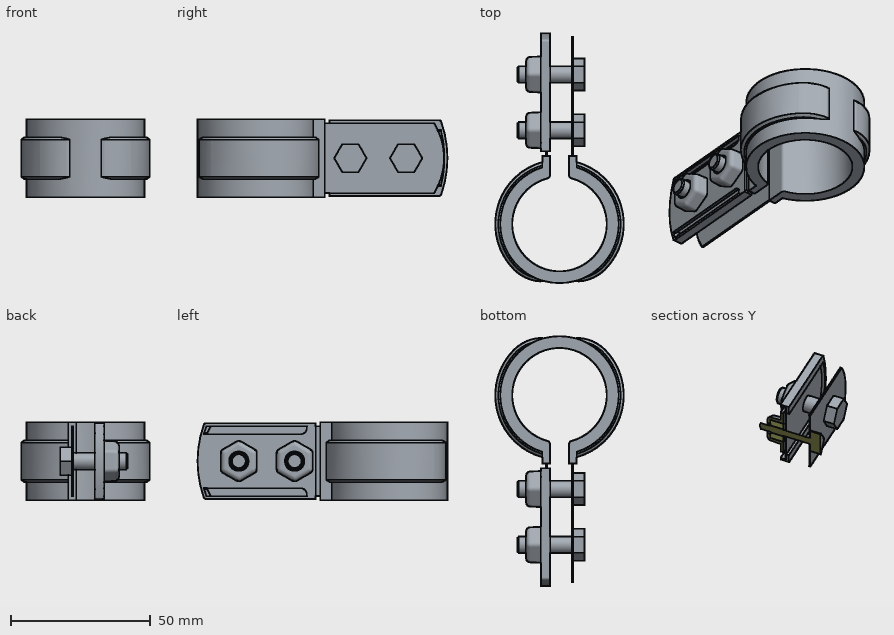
import cadquery as cq
import math


overall_length = 89.4

liner_width = 28.0
bore_radius = 33.7 / 2
liner_radius = 42.3 / 2
tab_gap = 6.7
tab_thickness = 2.8
tab_inner_x = tab_gap / 2
tab_outer_x = tab_inner_x + tab_thickness
tab_end_y = 24.4
tab_fillet = 1.3

pad_radius = 46.05 / 2
pad_width = 15.0
pad_chamfer_depth = 1.2
pad_chamfer_height = 0.9
pad_blend_radius = 14.7
pad_blend_middle_angle = 70
pad_toe_x = 6.8
pad_end_x = 5.6
pad_end_y = 20.4

strap_thickness = 0.5
strap_width = 25.0
strap_ring_radius = (bore_radius + liner_radius - strap_thickness) / 2
leg_gap = 8.85
leg_inner_x = leg_gap / 2
leg_outer_x = leg_inner_x + strap_thickness
leg_end_y = 67.0
leg_end_radius = 24.1

bolt_axes_y = (33.5, 53.5)
shank_diameter = 6.0
shank_tip_x = -15.0
tip_diameter = 4.9
tip_chamfer = (shank_diameter - tip_diameter) / 2
head_height = 4.0
hex_flats = 10.0

cover_width = 27.2
cover_thickness = 3.3
cover_inner_x = -tab_inner_x
cover_outer_x = cover_inner_x - cover_thickness
cover_start_y = 26.0
cover_end_y = overall_length - liner_radius
cover_end_radius = 38.8
cover_corner_fillet = 1.0
cover_wall = 1.1
slot_outer_x = cover_outer_x + cover_wall
back_opening_width = 20.0
window_inner_z = 9.7
window_start_y = 29.15
window_corner_fillet = 2.2

cap_flats = 13.0
cap_draft = 2.5
cap_top_x = -12.0
cap_fillet = 1.6
cap_hole_diameter = 7.0

nut_height = 5.0


def box(x_min, x_max, y_min, y_max, z_min, z_max):
    """Box between two opposite corners."""
    size = (x_max - x_min, y_max - y_min, z_max - z_min)
    return cq.Workplane("XY").box(*size, centered=False).translate((x_min, y_min, z_min))


def disc(radius, width):
    """Cylinder about the pipe axis, centred on the XY plane."""
    return cq.Workplane("XY").circle(radius).extrude(width / 2, both=True)


def rod(diameter, x_min, x_max, y):
    """Cylinder along X, crossing the Y axis at y."""
    return cq.Workplane("YZ", origin=(x_min, y, 0)).circle(diameter / 2).extrude(x_max - x_min)


def hexagon(flats, x_min, x_max, y, rotation=0, taper=0):
    """Hexagonal prism along X, with corners towards Y at rotation 0 and towards Z at rotation 90."""
    across_corners = flats / math.cos(math.pi / 6)
    return (
        cq.Workplane("YZ", origin=(x_min, y, 0))
        .transformed(rotate=(0, 0, rotation))
        .polygon(6, across_corners)
        .extrude(x_max - x_min, taper=taper)
    )


def round_ended(x_min, x_max, y_min, y_end, end_radius, width):
    """Flat bar along Y whose far end is an arc with its crown at y_end."""
    half = width / 2
    corner_y = y_end - end_radius + math.sqrt(end_radius**2 - half**2)
    return (
        cq.Workplane("YZ", origin=(x_min, 0, 0))
        .moveTo(y_min, -half)
        .lineTo(corner_y, -half)
        .threePointArc((y_end, 0), (corner_y, half))
        .lineTo(y_min, half)
        .close()
        .extrude(x_max - x_min)
    )


def mirrored(body):
    """Body together with its mirror image across the YZ plane."""
    return body.union(body.mirror("YZ"))


def make_strap():
    ring = disc(strap_ring_radius + strap_thickness, strap_width)
    ring = ring.cut(disc(strap_ring_radius, strap_width))
    ring = ring.cut(box(-leg_inner_x, leg_inner_x, 0, liner_radius, -strap_width, strap_width))
    leg_start_y = math.sqrt(strap_ring_radius**2 - leg_inner_x**2)
    leg = round_ended(leg_inner_x, leg_outer_x, leg_start_y, leg_end_y, leg_end_radius, strap_width)
    strap = ring.union(mirrored(leg))
    for y in bolt_axes_y:
        strap = strap.cut(rod(shank_diameter, -leg_outer_x, leg_outer_x, y))
    return strap


def pad_outline(z):
    """Outline at height z: from the tabs round to the front, where a smaller tangent arc runs it down to the liner."""
    diagonal = pad_radius / math.sqrt(2)
    blend_centre = (pad_radius - pad_blend_radius) / math.sqrt(2)
    toe_y = blend_centre + math.sqrt(pad_blend_radius**2 - (pad_toe_x - blend_centre) ** 2)
    middle_angle = math.radians(pad_blend_middle_angle)
    middle_x = blend_centre + pad_blend_radius * math.cos(middle_angle)
    middle_y = blend_centre + pad_blend_radius * math.sin(middle_angle)
    end_slope = (toe_y - pad_end_y) / (pad_toe_x - pad_end_x)
    buried_y = pad_end_y - end_slope * pad_end_x
    return (
        cq.Workplane("XY", origin=(0, 0, z))
        .moveTo(-diagonal, -diagonal)
        .threePointArc((0, pad_radius), (diagonal, -diagonal))
        .threePointArc((middle_x, -middle_y), (pad_toe_x, -toe_y))
        .lineTo(0, -buried_y)
        .lineTo(-pad_toe_x, -toe_y)
        .threePointArc((-middle_x, -middle_y), (-diagonal, -diagonal))
        .close()
    )


def make_pads():
    """Pads on both sides, joined through the liner, with sloping upper and lower borders."""
    border_z = pad_width / 2 - pad_chamfer_height
    slope = math.degrees(math.atan(pad_chamfer_depth / pad_chamfer_height))
    border = pad_outline(border_z).extrude(pad_chamfer_height, taper=slope)
    return pad_outline(0).extrude(border_z, both=True).union(border).union(border.mirror("XY"))


def make_liner(strap):
    half = liner_width / 2
    body = disc(liner_radius, liner_width).union(make_pads())
    body = body.cut(box(-tab_outer_x, tab_outer_x, 0, tab_end_y, -half, half))
    body = body.union(mirrored(box(tab_inner_x, tab_outer_x, 0, tab_end_y, -half, half)))
    body = body.cut(disc(bore_radius, liner_width))
    lip_y = math.sqrt(bore_radius**2 - tab_inner_x**2)
    for side in (-1, 1):
        lip = cq.selectors.NearestToPointSelector((side * tab_inner_x, lip_y, 0))
        body = body.edges("|Z").edges(lip).fillet(tab_fillet)
    return body.cut(strap)


def make_cap(y):
    """Drafted hexagonal housing for one nut, rounded on its top and side edges."""
    cap = hexagon(cap_flats, 0, cover_outer_x - cap_top_x, 0, rotation=90, taper=cap_draft)
    cap = cap.faces("not <X").edges("not <X").fillet(cap_fillet)
    return cap.mirror("YZ").translate((cover_outer_x, y, 0))


def make_window():
    """Slot through the outer wall of the cover near its +Z edge, ending at the wall along the arc."""
    bar = round_ended(
        cover_outer_x, slot_outer_x, window_start_y, cover_end_y - cover_wall,
        cover_end_radius - cover_wall, strap_width,
    )
    upper_part = box(
        cover_outer_x, slot_outer_x, window_start_y, cover_end_y, window_inner_z, strap_width / 2
    )
    window = bar.intersect(upper_part)
    return window.edges("|X and <Y and <Z").fillet(window_corner_fillet)


def make_cover():
    cover = round_ended(
        cover_outer_x, cover_inner_x, cover_start_y, cover_end_y, cover_end_radius, cover_width
    )
    cover = cover.edges("|X and (>Z or <Z) and (not <Y)").fillet(cover_corner_fillet)
    for y in bolt_axes_y:
        cover = cover.union(make_cap(y))

    inside_end_y = cover_end_y - cover_wall
    inside_radius = cover_end_radius - cover_wall
    slot = (slot_outer_x, -leg_inner_x, cover_start_y, inside_end_y, inside_radius, strap_width)
    back = (-leg_inner_x, cover_inner_x, cover_start_y, inside_end_y, inside_radius, back_opening_width)
    cover = cover.cut(round_ended(*slot)).cut(round_ended(*back))

    window = make_window()
    cover = cover.cut(window).cut(window.mirror("XY"))

    for y in bolt_axes_y:
        cover = cover.cut(hexagon(hex_flats, slot_outer_x - nut_height, slot_outer_x, y, rotation=90))
        cover = cover.cut(rod(cap_hole_diameter, cap_top_x, slot_outer_x, y))
    return cover


def make_nut(y):
    nut = hexagon(hex_flats, slot_outer_x - nut_height, slot_outer_x, y, rotation=90)
    return nut.cut(rod(shank_diameter, slot_outer_x - nut_height, slot_outer_x, y))


def make_bolt(y):
    shank = rod(shank_diameter, shank_tip_x, leg_outer_x, y).faces("<X").chamfer(tip_chamfer)
    return shank.union(hexagon(hex_flats, leg_outer_x, leg_outer_x + head_height, y))


strap = make_strap()
liner = make_liner(strap)
cover = make_cover()
nuts = [make_nut(y) for y in bolt_axes_y]
bolts = [make_bolt(y) for y in bolt_axes_y]

result = cq.Compound.makeCompound(
    [
        strap.val(),
        liner.val(),
        cover.val(),
        *[nut.val() for nut in nuts],
        *[bolt.val() for bolt in bolts],
    ]
)